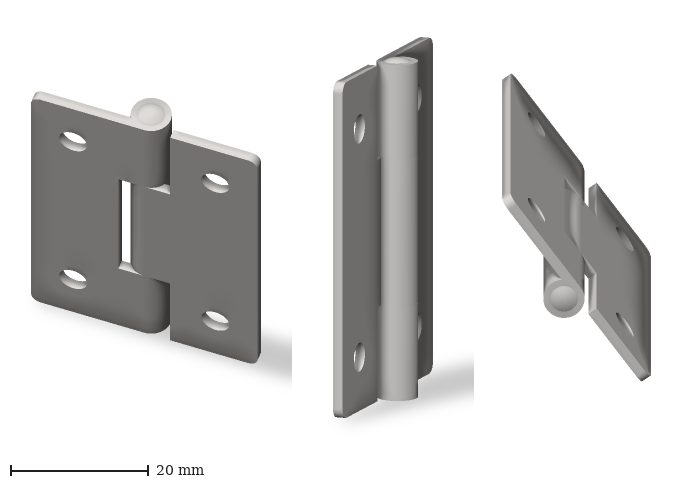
import cadquery as cq
import math

hinge_width = 35.0
hinge_height = 50.0
leaf_thickness = 1.5
corner_radius = 1.5

barrel_radius = 3.0
pin_radius = barrel_radius - leaf_thickness
pin_head_radius = 2.0
pin_head_rise = 0.5
middle_knuckle_length = 22.0
knuckle_clearance = 1.0

hole_diameter = 4.3
hole_offset_x = 11.0
hole_spacing_z = 34.0

leaf_width = hinge_width / 2
leaf_outer_face_y = -barrel_radius
leaf_center_y = leaf_outer_face_y + leaf_thickness / 2
notch_width = barrel_radius + knuckle_clearance
end_knuckle_length = (hinge_height - middle_knuckle_length) / 2
end_knuckle_center_z = (middle_knuckle_length + end_knuckle_length) / 2

LEFT = -1
RIGHT = 1


def leaf_plate(side):
    """Flat plate from the pin axis outward, with rounded outer corners and two screw holes."""
    outer_face = "<X" if side == LEFT else ">X"
    plate = (
        cq.Workplane("XY")
        .box(leaf_width, leaf_thickness, hinge_height)
        .translate((side * leaf_width / 2, leaf_center_y, 0))
        .faces(outer_face)
        .edges("|Y")
        .fillet(corner_radius)
    )
    hole_points = [(side * hole_offset_x, level * hole_spacing_z / 2) for level in (-1, 1)]
    holes = (
        cq.Workplane("XZ")
        .pushPoints(hole_points)
        .circle(hole_diameter / 2)
        .extrude(2 * barrel_radius)
    )
    return plate.cut(holes)


def notch(side, center_z, length):
    """Block that clears a leaf's plate around a knuckle of the other leaf."""
    return (
        cq.Workplane("XY")
        .box(notch_width, leaf_thickness, length)
        .translate((side * notch_width / 2, leaf_center_y, center_z))
    )


def cylinder(radius, center_z, length):
    """Solid cylinder along the pin axis."""
    return cq.Workplane("XY").circle(radius).extrude(length).translate((0, 0, center_z - length / 2))


def make_leaf(side, own_knuckles, other_knuckles):
    """Leaf with its own knuckles, notched for the other leaf's, each given as (center_z, length)."""
    leaf = leaf_plate(side)
    for center_z, length in other_knuckles:
        leaf = leaf.cut(notch(side, center_z, length))
    for center_z, length in own_knuckles:
        leaf = leaf.union(cylinder(barrel_radius, center_z, length))
    return leaf.cut(cylinder(pin_radius, 0, hinge_height))


def make_pin():
    """Pin filling the bore, with a wider spherical cap resting on the barrel at each end."""
    half_height = hinge_height / 2
    tip_z = half_height + pin_head_rise
    dome_radius = (pin_head_radius**2 + pin_head_rise**2) / (2 * pin_head_rise)
    dome_center_z = tip_z - dome_radius
    arc_middle_x = pin_head_radius / 2
    arc_middle_z = dome_center_z + math.sqrt(dome_radius**2 - arc_middle_x**2)
    return (
        cq.Workplane("XZ")
        .moveTo(0, -tip_z)
        .threePointArc((arc_middle_x, -arc_middle_z), (pin_head_radius, -half_height))
        .lineTo(pin_radius, -half_height)
        .lineTo(pin_radius, half_height)
        .lineTo(pin_head_radius, half_height)
        .threePointArc((arc_middle_x, arc_middle_z), (0, tip_z))
        .close()
        .revolve(360, (0, 0, 0), (0, 1, 0))
    )


middle_knuckles = [(0, middle_knuckle_length)]
end_knuckles = [(level * end_knuckle_center_z, end_knuckle_length) for level in (-1, 1)]

left_leaf = make_leaf(LEFT, end_knuckles, middle_knuckles)
right_leaf = make_leaf(RIGHT, middle_knuckles, end_knuckles)
pin = make_pin()

result = cq.Compound.makeCompound(
    [*left_leaf.solids().vals(), *right_leaf.solids().vals(), *pin.solids().vals()]
)